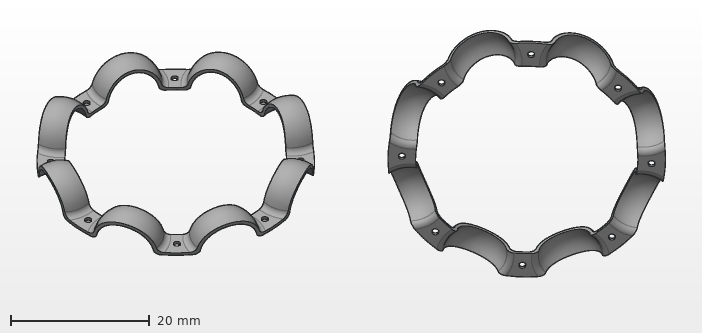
import cadquery as cq
import math

outer_diameter = 40.0
inner_diameter = 32.0
fillet_radius = 1.0
thickness = fillet_radius / 2
pitch_radius = (outer_diameter + inner_diameter) / 4

pocket_count = 8
dome_radius = 5.2
cavity_radius = dome_radius - thickness

rivet_diameter = 1.0
pocket_step = 360 / pocket_count


def flared_dome(radius, base_height):
    """Dome about the Z axis that flares through a fillet onto a plane at base_height."""
    fillet_height = base_height + fillet_radius
    center_distance = radius + fillet_radius
    flare_radius = math.sqrt(center_distance**2 - fillet_height**2)
    tangent_angle = math.asin(fillet_height / center_distance)

    middle_angle = (tangent_angle + math.pi / 2) / 2

    def on_dome(angle):
        return radius * math.cos(angle), radius * math.sin(angle)

    fillet_middle = (
        flare_radius - fillet_radius * math.cos(middle_angle),
        fillet_height - fillet_radius * math.sin(middle_angle),
    )
    profile = (
        cq.Workplane("XZ")
        .moveTo(0, 0)
        .lineTo(0, radius)
        .threePointArc(on_dome(middle_angle), on_dome(tangent_angle))
        .threePointArc(fillet_middle, (flare_radius, base_height))
    )
    if base_height > 0:
        profile = profile.lineTo(flare_radius, 0)
    return profile.close().revolve(360, (0, 0, 0), (0, 1, 0))


def ring(height):
    return cq.Workplane("XY").circle(outer_diameter / 2).circle(inner_diameter / 2).extrude(height)


def around_pitch_circle(body, angle):
    return body.translate((pitch_radius, 0, 0)).rotate((0, 0, 0), (0, 0, 1), angle)


dome = flared_dome(dome_radius, thickness)
cavity = flared_dome(cavity_radius, 0)
pocket_angles = [index * pocket_step for index in range(pocket_count)]

cage = ring(thickness)
for angle in pocket_angles:
    cage = cage.union(around_pitch_circle(dome, angle))
for angle in pocket_angles:
    cage = cage.cut(around_pitch_circle(cavity, angle))

cage = cage.intersect(ring(dome_radius))

rivet_holes = (
    cq.Workplane("XY")
    .polarArray(pitch_radius, pocket_step / 2, 360, pocket_count)
    .circle(rivet_diameter / 2)
    .extrude(thickness)
)
result = cage.cut(rivet_holes)